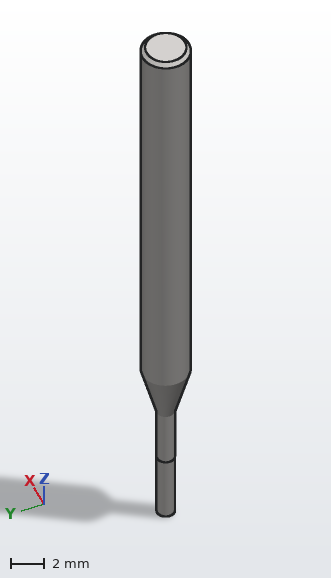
import cadquery as cq
import math

total_length = 39.0
shank_diameter = 3.0
cutter_diameter = 1.15
neck_diameter = cutter_diameter

cutter_top = 4.75
neck_top = 8.55
taper_top = 12.1

shank_chamfer = 0.27
point_angle = 140.0

shank_radius = shank_diameter / 2
neck_radius = neck_diameter / 2
cutter_radius = cutter_diameter / 2
point_height = cutter_radius / math.tan(math.radians(point_angle / 2))


def make_shank():
    """Chamfered shank, taper and neck, turned from a profile on the -Y side."""
    return (
        cq.Workplane("YZ")
        .moveTo(0, cutter_top)
        .lineTo(-neck_radius, cutter_top)
        .lineTo(-neck_radius, neck_top)
        .lineTo(-shank_radius, taper_top)
        .lineTo(-shank_radius, total_length - shank_chamfer)
        .lineTo(-shank_radius + shank_chamfer, total_length)
        .lineTo(0, total_length)
        .close()
        .revolve(360, (0, 0, 0), (0, 1, 0))
    )


def make_cutter():
    """Round cutter with a conical point, turned from a profile on the -X side."""
    return (
        cq.Workplane("XZ")
        .moveTo(0, 0)
        .lineTo(-cutter_radius, point_height)
        .lineTo(-cutter_radius, cutter_top)
        .lineTo(0, cutter_top)
        .close()
        .revolve(360, (0, 0, 0), (0, 1, 0))
    )


shank = make_shank()
cutter = make_cutter()

result = cq.Compound.makeCompound([shank.val(), cutter.val()])